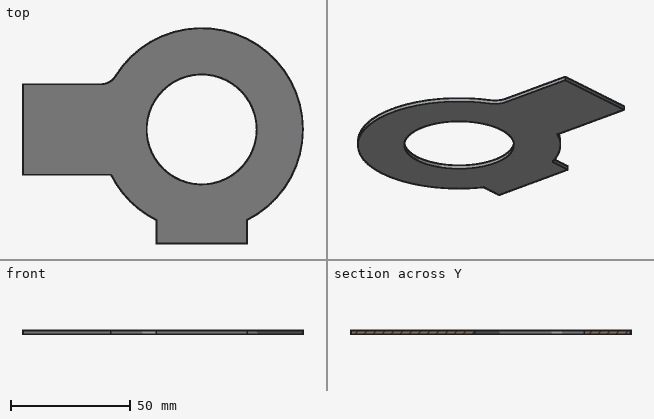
import cadquery as cq
import math

thickness = 1.6
disc_radius = 42.5
bore_diameter = 46.0
tab_width = 38.0
long_tab_reach = 74.9
short_tab_reach = 47.9
corner_radius = 7.0

half_tab = tab_width / 2
corner_x = -math.sqrt(disc_radius**2 - half_tab**2)


def plate(length, width):
    """Rectangular plate centred on the origin in X and Y, sitting on Z = 0."""
    return cq.Workplane("XY").box(length, width, thickness, centered=(True, True, False))


disc = cq.Workplane("XY").circle(disc_radius).extrude(thickness)
long_tab = plate(long_tab_reach, tab_width).translate((-long_tab_reach / 2, 0, 0))
short_tab = plate(tab_width, short_tab_reach).translate((0, -short_tab_reach / 2, 0))
body = disc.union(long_tab).union(short_tab)

inner_corner = cq.selectors.NearestToPointSelector((corner_x, half_tab, thickness / 2))
body = body.edges("|Z").edges(inner_corner).fillet(corner_radius)

bore = cq.Workplane("XY").circle(bore_diameter / 2).extrude(thickness)
result = body.cut(bore)